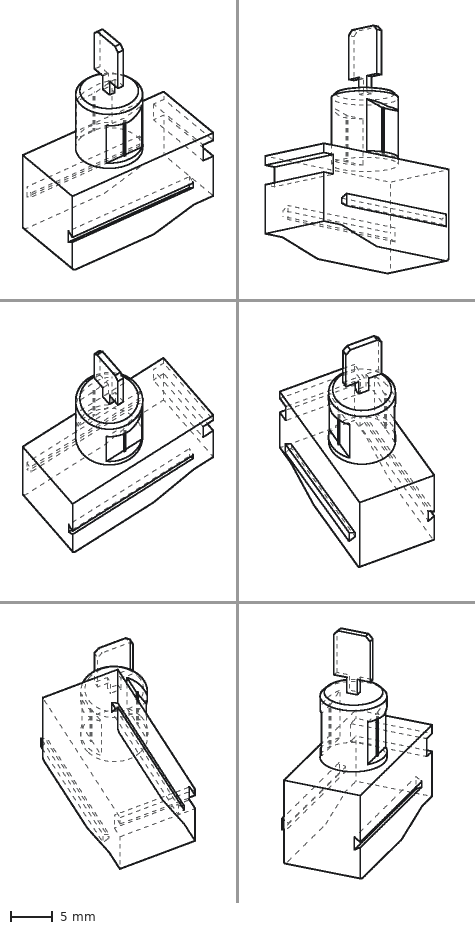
import cadquery as cq

block_width = 10.0
block_length = 20.9
block_height = 11.25
rear_step_height = 1.75
rear_step_length = 2.9
ramp_end = 8.83
front_edge_radius = 0.5
rear_slot_depth = 1.53
rear_slot_height = 2.37
rear_slot_drop = 1.15

dovetail_z = 4.7
dovetail_depth = 0.8
rib_wide = 1.5
rib_narrow = 0.65
rib_start = 1.2
rib_length = 16.7
groove_wide = 1.7
groove_narrow = 0.72

barrel_diameter = 8.0
barrel_height = 8.6
barrel_chamfer = 0.5
barrel_x = block_width / 2
barrel_y = 9.13
flat_offset = 3.0
flat_half_width = ((barrel_diameter / 2) ** 2 - flat_offset ** 2) ** 0.5
flat_bottom = 0.78
flat_top = 6.4
flat_peak = 7.1
flat_ridge_width = 0.2
flat_ridge_height = 0.17

key_y = 9.08
key_thickness = 0.8
key_shank_width = 1.4
key_bow_width = 4.75
key_bow_chamfer = 0.58
key_bow_bottom = 21.9
key_top = 27.85


def make_block():
    rear = block_length
    slot_top = block_height - rear_slot_drop
    slot_bottom = slot_top - rear_slot_height
    block = (
        cq.Workplane("YZ")
        .moveTo(0, 0)
        .lineTo(rear - ramp_end, 0)
        .lineTo(rear - rear_step_length, rear_step_height)
        .lineTo(rear, rear_step_height)
        .lineTo(rear, slot_bottom)
        .lineTo(rear - rear_slot_depth, slot_bottom)
        .lineTo(rear - rear_slot_depth, slot_top)
        .lineTo(rear, slot_top)
        .lineTo(rear, block_height)
        .lineTo(0, block_height)
        .close()
        .extrude(block_width)
    )
    return block.faces("<Y").edges("<Z").fillet(front_edge_radius)


def make_dovetail(right_x, wide, narrow, start, length):
    """Dovetail bar along Y, wide on the left and narrow at right_x."""
    left_x = right_x - dovetail_depth
    return (
        cq.Workplane("XZ", origin=(0, start, 0))
        .polyline([
            (left_x, dovetail_z - wide / 2),
            (right_x, dovetail_z - narrow / 2),
            (right_x, dovetail_z + narrow / 2),
            (left_x, dovetail_z + wide / 2),
        ])
        .close()
        .extrude(-length)
    )


def make_flat_cutter():
    """Recess on the -X side of a barrel on the Z axis; a thin upright ridge divides it."""
    radius = barrel_diameter / 2
    cutter = (
        cq.Workplane("YZ", origin=(-flat_offset, 0, 0))
        .moveTo(-radius, flat_bottom)
        .lineTo(-radius, flat_top)
        .lineTo(0, flat_top)
        .lineTo(flat_half_width, flat_peak)
        .lineTo(flat_half_width, flat_bottom)
        .close()
        .extrude(flat_offset - radius)
    )
    ridge = cq.Workplane("XY").box(
        2 * (flat_offset + flat_ridge_height), flat_ridge_width, 2 * barrel_height
    )
    return cutter.cut(ridge)


def make_barrel():
    barrel = cq.Workplane("XY").circle(barrel_diameter / 2).extrude(barrel_height)
    barrel = barrel.faces(">Z").chamfer(barrel_chamfer)
    left_cutter = make_flat_cutter()
    barrel = barrel.cut(left_cutter).cut(left_cutter.mirror("YZ"))
    return barrel.translate((barrel_x, barrel_y, block_height))


def make_housing():
    rib = make_dovetail(0, rib_wide, rib_narrow, rib_start, rib_length)
    groove = make_dovetail(block_width, groove_wide, groove_narrow, 0, rib_start + rib_length)
    return make_block().union(rib).cut(groove).union(make_barrel())


def make_key():
    shank_bottom = block_height + barrel_height
    shank_height = key_bow_bottom - shank_bottom
    bow_height = key_top - key_bow_bottom
    upright = (True, True, False)
    bow = (
        cq.Workplane("XY", origin=(barrel_x, key_y, key_bow_bottom))
        .box(key_bow_width, key_thickness, bow_height, centered=upright)
        .faces(">Z").edges("|Y")
        .chamfer(key_bow_chamfer)
    )
    shank = (
        cq.Workplane("XY", origin=(barrel_x, key_y, shank_bottom))
        .box(key_shank_width, key_thickness, shank_height, centered=upright)
    )
    return bow.union(shank)


housing = make_housing()
key = make_key()
result = cq.Compound.makeCompound([housing.val(), key.val()])